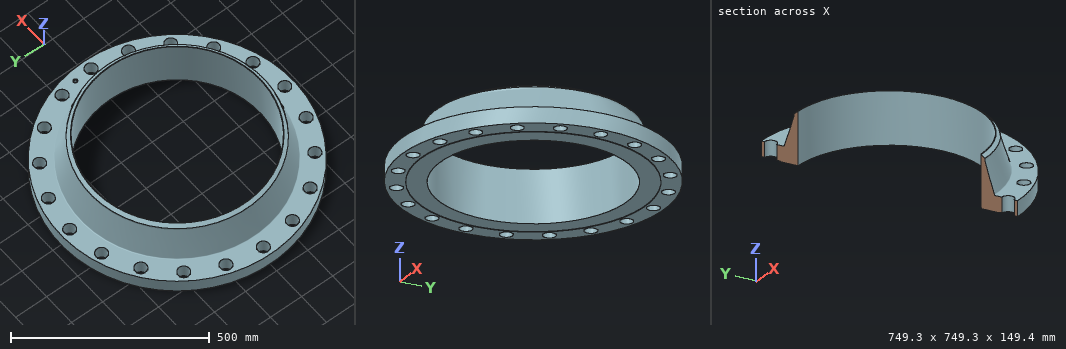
import cadquery as cq
import math


FLANGE_DIAMETER = 749.3
RAISED_FACE_DIAMETER = 641.35
RAISED_FACE_HEIGHT = 1.6
FLANGE_TOP_Z = 46.0

TOTAL_HEIGHT = 149.42
HUB_BASE_DIAMETER = 616.0
PIPE_DIAMETER = 558.8
BORE_DIAMETER = 533.4
HUB_BASE_FILLET = 3.0
STRAIGHT_NECK_LENGTH = 6.4
WELD_LAND_WIDTH = 1.6
WELD_BEVEL_ANGLE = 37.5

BOLT_CIRCLE_DIAMETER = 692.15
BOLT_HOLE_DIAMETER = 34.925
BOLT_COUNT = 20

SMALL_HOLE_ANGLE = 360 / BOLT_COUNT / 2
SMALL_HOLE_DIAMETER = 8.0
SMALL_HOLE_MOUTH_DIAMETER = 12.5
SMALL_HOLE_DEPTH = 20.0
DRILL_POINT_ANGLE = 118


def make_body():
    """Revolve the half section of plate, hub and weld neck about Z."""
    bore_radius = BORE_DIAMETER / 2
    pipe_radius = PIPE_DIAMETER / 2
    land_radius = bore_radius + WELD_LAND_WIDTH
    bevel_height = (pipe_radius - land_radius) * math.tan(math.radians(WELD_BEVEL_ANGLE))
    bevel_base_z = TOTAL_HEIGHT - bevel_height
    section = [
        (bore_radius, 0),
        (RAISED_FACE_DIAMETER / 2, 0),
        (RAISED_FACE_DIAMETER / 2, RAISED_FACE_HEIGHT),
        (FLANGE_DIAMETER / 2, RAISED_FACE_HEIGHT),
        (FLANGE_DIAMETER / 2, FLANGE_TOP_Z),
        (HUB_BASE_DIAMETER / 2, FLANGE_TOP_Z),
        (pipe_radius, bevel_base_z - STRAIGHT_NECK_LENGTH),
        (pipe_radius, bevel_base_z),
        (land_radius, TOTAL_HEIGHT),
        (bore_radius, TOTAL_HEIGHT),
    ]
    axis_start = (0, 0, 0)
    axis_end = (0, 1, 0)
    body = cq.Workplane("XZ").polyline(section).close().revolve(360, axis_start, axis_end)
    flange_top = body.faces("+Z").faces("<Z")
    hub_base_edge = flange_top.edges(cq.selectors.RadiusNthSelector(0))
    return hub_base_edge.fillet(HUB_BASE_FILLET)


def make_bolt_holes():
    """Cylinders for the through holes on the bolt circle."""
    return (
        cq.Workplane("XY")
        .polarArray(BOLT_CIRCLE_DIAMETER / 2, 0, 360, BOLT_COUNT)
        .circle(BOLT_HOLE_DIAMETER / 2)
        .extrude(FLANGE_TOP_Z)
    )


def make_small_hole():
    """Revolved cutter for the countersunk blind hole in the flange top."""
    radius = SMALL_HOLE_DIAMETER / 2
    mouth_radius = SMALL_HOLE_MOUTH_DIAMETER / 2
    countersink_depth = mouth_radius - radius
    point_height = radius / math.tan(math.radians(DRILL_POINT_ANGLE / 2))
    cutter = (
        cq.Workplane("XZ")
        .moveTo(0, 0)
        .lineTo(mouth_radius, 0)
        .lineTo(radius, -countersink_depth)
        .lineTo(radius, -SMALL_HOLE_DEPTH)
        .lineTo(0, -SMALL_HOLE_DEPTH - point_height)
        .close()
        .revolve(360, (0, 0, 0), (0, 1, 0))
    )
    on_bolt_circle = cutter.translate((BOLT_CIRCLE_DIAMETER / 2, 0, FLANGE_TOP_Z))
    return on_bolt_circle.rotate((0, 0, 0), (0, 0, 1), SMALL_HOLE_ANGLE)


result = make_body().cut(make_bolt_holes()).cut(make_small_hole())